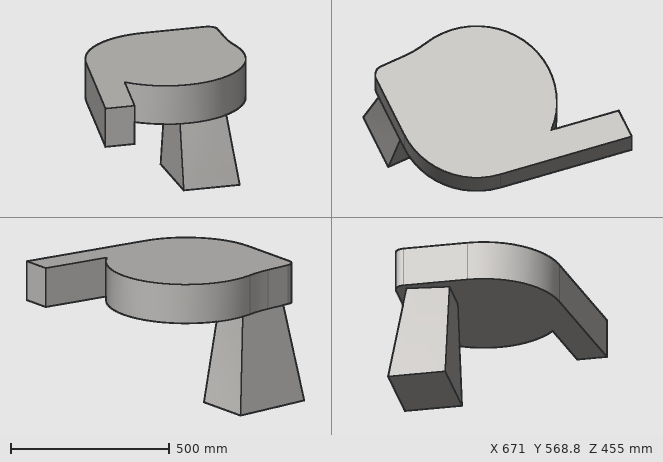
import cadquery as cq
import math

chamber_radius = 254.0
housing_height = 129.0

outlet_angle = math.radians(8.4)
outlet_end_x = 393.0
outlet_mouth = 96.0

corner_top_y = 237.0
corner_radius = 31.5
blend_radius = 335.5

leg_height = 326.0
foot_left_x = -278.0
foot_width = 259.0
foot_back_y = 250.5
foot_depth = 184.5
back_inset = 49.0
front_inset = 65.0


def on_circle(center_x, center_y, radius, angle):
    return (center_x + radius * math.cos(angle), center_y + radius * math.sin(angle))


def make_housing():
    tangent_angle = 1.5 * math.pi - outlet_angle
    slope = math.tan(outlet_angle)
    lower_offset = chamber_radius / math.cos(outlet_angle)
    lower_end_y = -lower_offset - outlet_end_x * slope
    upper_end_y = lower_end_y + outlet_mouth

    upper_distance = chamber_radius - outlet_mouth * math.cos(outlet_angle)
    throat_angle = tangent_angle + math.acos(upper_distance / chamber_radius)

    blend_center_y = corner_top_y + blend_radius
    blend_distance = chamber_radius + blend_radius
    blend_center_x = -math.sqrt(blend_distance**2 - blend_center_y**2)
    blend_angle = math.atan2(blend_center_y, blend_center_x)
    blend_mid_angle = (blend_angle - math.pi - math.pi / 2) / 2

    corner_x = -chamber_radius + corner_radius
    corner_y = corner_top_y - corner_radius

    def on_chamber(angle):
        return on_circle(0, 0, chamber_radius, angle)

    outline = (
        cq.Workplane("XY")
        .moveTo(-chamber_radius, 0)
        .threePointArc(on_chamber((math.pi + tangent_angle) / 2), on_chamber(tangent_angle))
        .lineTo(outlet_end_x, lower_end_y)
        .lineTo(outlet_end_x, upper_end_y)
        .lineTo(*on_chamber(throat_angle))
        .threePointArc(on_chamber((throat_angle - 2 * math.pi + blend_angle) / 2), on_chamber(blend_angle))
        .threePointArc(
            on_circle(blend_center_x, blend_center_y, blend_radius, blend_mid_angle),
            (blend_center_x, corner_top_y),
        )
        .lineTo(corner_x, corner_top_y)
        .threePointArc(
            on_circle(corner_x, corner_y, corner_radius, 0.75 * math.pi),
            (-chamber_radius, corner_y),
        )
        .close()
    )
    return outline.extrude(housing_height)


def make_leg():
    foot_right_x = foot_left_x + foot_width
    front_y = foot_back_y - foot_depth
    top_back_y = foot_back_y - back_inset
    foot = [
        (foot_left_x, front_y),
        (foot_right_x, front_y),
        (foot_right_x, foot_back_y),
        (foot_left_x, foot_back_y),
    ]
    top = [
        (foot_left_x + front_inset, front_y),
        (foot_right_x - front_inset, front_y),
        (foot_right_x - back_inset, top_back_y),
        (foot_left_x + back_inset, top_back_y),
    ]
    return (
        cq.Workplane("XY", origin=(0, 0, -leg_height))
        .polyline(foot)
        .close()
        .workplane(offset=leg_height)
        .polyline(top)
        .close()
        .loft(ruled=True)
    )


result = make_housing().union(make_leg())